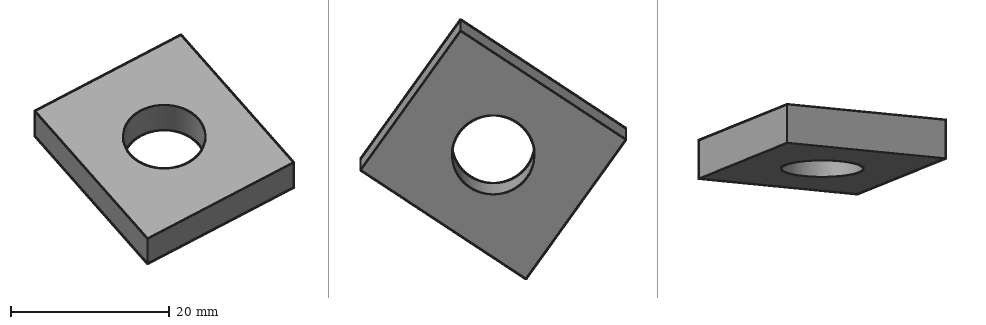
import cadquery as cq

length = 25.4
width = 22.35
thickness = 5.0

hole_diameter = 10.41

result = (
    cq.Workplane("XY")
    .box(length, width, thickness)
    .faces(">Z")
    .workplane()
    .hole(hole_diameter)
)